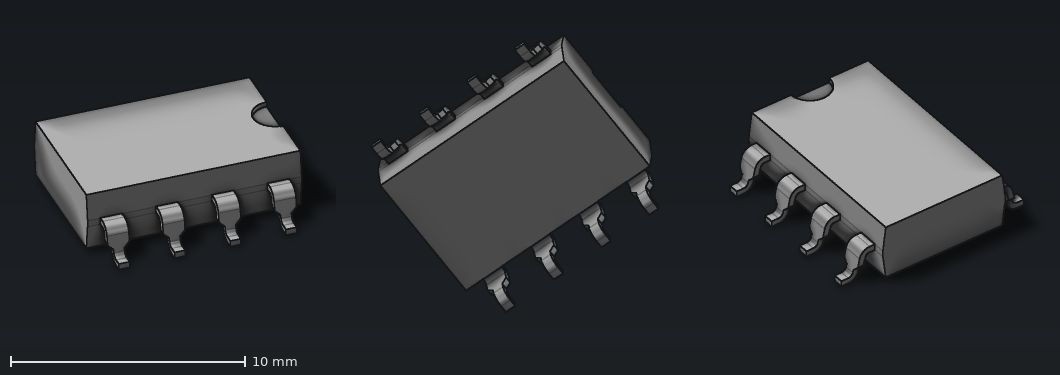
import cadquery as cq
import math

BODY_LENGTH = 9.78
LEAD_SPAN = 9.62
TOTAL_HEIGHT = 2.95

LEAD_THICKNESS = 0.3
SHOULDER_TOP = 1.74
SHOULDER_WIDTH = 1.0
FOOT_WIDTH = 0.5
FOOT_FLAT = 0.36
BEND_INNER_RADIUS = 0.24
SHANK_LEAN = 12.5
TAPER_TOP = 0.87
LEADS_PER_SIDE = 4
LEAD_PITCH = 2.54
BEND_OUTER_RADIUS = BEND_INNER_RADIUS + LEAD_THICKNESS
SHOULDER_BOTTOM = SHOULDER_TOP - LEAD_THICKNESS
TAPER_BOTTOM = TAPER_TOP - (SHOULDER_WIDTH - FOOT_WIDTH) / 2

BODY_WIDTH = 6.445
BODY_TOP_WIDTH = 6.14
BODY_BOTTOM = SHOULDER_TOP + SHOULDER_BOTTOM - TOTAL_HEIGHT

NOTCH_RADIUS = 1.0
NOTCH_DEPTH = 0.24


def make_package():
    """Package with drafted sides, a vertical band level with the leads and an end notch."""
    wide = BODY_WIDTH / 2
    narrow = BODY_TOP_WIDTH / 2
    package = (
        cq.Workplane("XZ")
        .polyline([
            (-narrow, BODY_BOTTOM),
            (narrow, BODY_BOTTOM),
            (wide, SHOULDER_BOTTOM),
            (wide, SHOULDER_TOP),
            (narrow, TOTAL_HEIGHT),
            (-narrow, TOTAL_HEIGHT),
            (-wide, SHOULDER_TOP),
            (-wide, SHOULDER_BOTTOM),
        ])
        .close()
        .extrude(BODY_LENGTH / 2, both=True)
    )
    notch = (
        cq.Workplane("XY", origin=(0, BODY_LENGTH / 2, TOTAL_HEIGHT - NOTCH_DEPTH))
        .circle(NOTCH_RADIUS)
        .extrude(NOTCH_DEPTH)
    )
    return package.cut(notch).solids()


def make_lead_strip():
    """Full-width strip bent into a gull wing, on the +X side and centred on Y = 0."""
    lean = math.radians(SHANK_LEAN)
    foot_tip = LEAD_SPAN / 2
    foot_bend_x = foot_tip - FOOT_FLAT
    foot_centre_z = BEND_OUTER_RADIUS
    shoulder_centre_z = SHOULDER_TOP - BEND_OUTER_RADIUS

    radius_sum = BEND_INNER_RADIUS + BEND_OUTER_RADIUS
    shank_length = (shoulder_centre_z - foot_centre_z + radius_sum * math.sin(lean)) / math.cos(lean)
    shoulder_bend_x = foot_bend_x - radius_sum * math.cos(lean) - shank_length * math.sin(lean)

    def shoulder_point(radius, angle):
        """Point on the shoulder bend, with the angle measured up from +X."""
        return (
            shoulder_bend_x + radius * math.cos(angle),
            shoulder_centre_z + radius * math.sin(angle),
        )

    def foot_point(radius, angle):
        """Point on the foot bend, with the angle measured down from -X."""
        return (
            foot_bend_x - radius * math.cos(angle),
            foot_centre_z - radius * math.sin(angle),
        )

    bend_end = math.pi / 2
    bend_middle = (lean + bend_end) / 2
    return (
        cq.Workplane("XZ")
        .moveTo(BODY_WIDTH / 2, SHOULDER_TOP)
        .lineTo(*shoulder_point(BEND_OUTER_RADIUS, bend_end))
        .threePointArc(
            shoulder_point(BEND_OUTER_RADIUS, bend_middle),
            shoulder_point(BEND_OUTER_RADIUS, lean),
        )
        .lineTo(*foot_point(BEND_INNER_RADIUS, lean))
        .threePointArc(
            foot_point(BEND_INNER_RADIUS, bend_middle),
            foot_point(BEND_INNER_RADIUS, bend_end),
        )
        .lineTo(foot_tip, LEAD_THICKNESS)
        .lineTo(foot_tip, 0)
        .lineTo(*foot_point(BEND_OUTER_RADIUS, bend_end))
        .threePointArc(
            foot_point(BEND_OUTER_RADIUS, bend_middle),
            foot_point(BEND_OUTER_RADIUS, lean),
        )
        .lineTo(*shoulder_point(BEND_INNER_RADIUS, lean))
        .threePointArc(
            shoulder_point(BEND_INNER_RADIUS, bend_middle),
            shoulder_point(BEND_INNER_RADIUS, bend_end),
        )
        .lineTo(BODY_WIDTH / 2, SHOULDER_BOTTOM)
        .close()
        .extrude(SHOULDER_WIDTH / 2, both=True)
    )


def make_lead():
    """Gull-wing lead, wide at the shoulder and tapering to a narrow foot."""
    shoulder = SHOULDER_WIDTH / 2
    foot = FOOT_WIDTH / 2
    width_outline = (
        cq.Workplane("YZ")
        .polyline([
            (-foot, 0),
            (foot, 0),
            (foot, TAPER_BOTTOM),
            (shoulder, TAPER_TOP),
            (shoulder, SHOULDER_TOP),
            (-shoulder, SHOULDER_TOP),
            (-shoulder, TAPER_TOP),
            (-foot, TAPER_BOTTOM),
        ])
        .close()
        .extrude(LEAD_SPAN / 2)
    )
    return make_lead_strip().intersect(width_outline)


def place_leads():
    """One row of leads along each long side of the package."""
    right_lead = make_lead()
    left_lead = right_lead.mirror("YZ")
    leads = []
    for index in range(LEADS_PER_SIDE):
        y = (index - (LEADS_PER_SIDE - 1) / 2) * LEAD_PITCH
        for lead in (right_lead, left_lead):
            leads.append(lead.translate((0, y, 0)).solids().val())
    return leads


package = make_package()
leads = place_leads()

result = cq.Compound.makeCompound([package.val(), *leads])